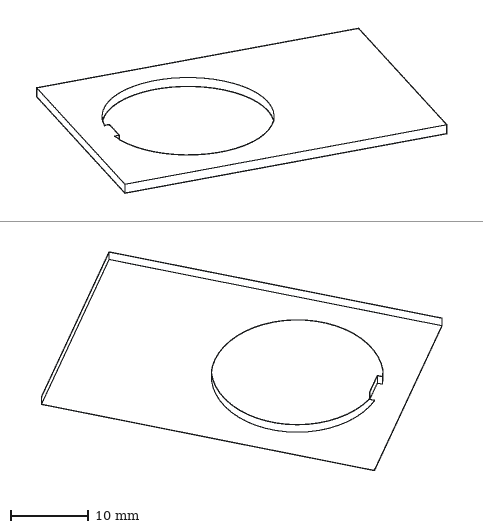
import cadquery as cq

plate_width = 30.0
plate_length = 45.0
plate_thickness = 1.3

hole_diameter = 22.25
hole_center_y = -plate_length / 6

key_width = 3.38
key_face_distance = 10.3


def make_plate():
    return cq.Workplane("XY").box(plate_width, plate_length, plate_thickness)


def make_keyed_opening():
    """Cutter for the round opening, with the key left out of it."""
    hole_radius = hole_diameter / 2
    cylinder = (
        cq.Workplane("XY")
        .center(0, hole_center_y)
        .circle(hole_radius)
        .extrude(plate_thickness, both=True)
    )
    key_depth = hole_radius - key_face_distance
    key_center_y = hole_center_y - key_face_distance - key_depth / 2
    key = (
        cq.Workplane("XY")
        .center(0, key_center_y)
        .rect(key_width, key_depth)
        .extrude(plate_thickness, both=True)
    )
    return cylinder.cut(key)


result = make_plate().cut(make_keyed_opening())